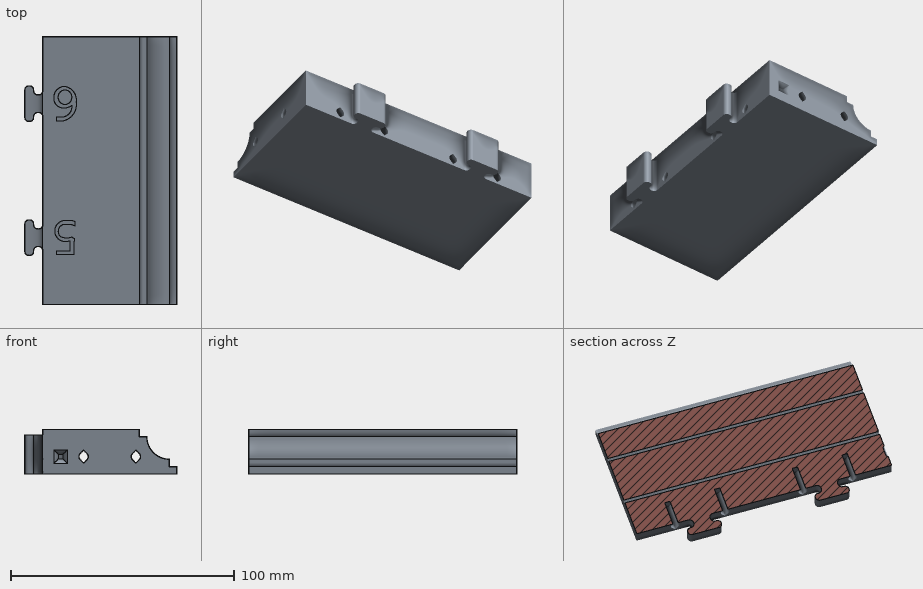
import cadquery as cq
import math

tile_length = 120.0
tile_width = 60.0
tile_height = 20.0
tile_mid_x = tile_width / 2
moulding_step = tile_height / 6
cove_radius = tile_height / 2

tab_reach = 8.0
tab_height = 17.5
tab_head_length = 16.0
tab_neck_length = tab_head_length / 2
tab_head_thickness = tab_reach / 2
tab_corner_radius = 1.8
tab_ys = (-tile_length / 4, tile_length / 4)

hole_radius = 2.0
hole_offset = 23.4 / 2
lengthwise_hole_z = 7.8
side_hole_z = 3.8
side_hole_depth = 12.0

socket_x = 8.0
socket_z = lengthwise_hole_z
socket_mouth = 6.0
socket_floor = 1.9
socket_depth = 2.0

inlay_depth = 1.0
inlay_x = 10.0
five_top = 7.4
six_top = 7.7
digit_bottom = -7.7
six_counter_y = -2.9
six_counter_width = 6.1
six_counter_height = 6.5


def make_blank():
    """Bar with the stepped cove profile, centred on Y."""
    upper_step_z = tile_height - moulding_step
    cove_foot_x = tile_width - moulding_step
    cove_top_x = cove_foot_x - cove_radius
    top_edge_x = cove_top_x - moulding_step
    profile = (
        cq.Workplane("XZ")
        .lineTo(tile_width, 0)
        .lineTo(tile_width, moulding_step)
        .lineTo(cove_foot_x, moulding_step)
        .lineTo(cove_foot_x, upper_step_z - cove_radius)
        .radiusArc((cove_top_x, upper_step_z), cove_radius)
        .lineTo(top_edge_x, upper_step_z)
        .lineTo(top_edge_x, tile_height)
        .lineTo(0, tile_height)
        .close()
    )
    return profile.extrude(tile_length / 2, both=True)


def make_tab(tab_y):
    """T-shaped tab standing on Z = 0, with its square neck end on the plane X = 0."""
    head = cq.Workplane("XY").box(
        tab_head_thickness, tab_head_length, tab_height, centered=(False, True, False)
    )
    neck = cq.Workplane("XY").box(
        tab_reach, tab_neck_length, tab_height, centered=(False, True, False)
    )
    return head.union(neck).translate((-tab_reach, tab_y, 0))


def round_tabs(body):
    """Round the head ends and the neck corners of every tab, including those at the tile face."""
    margin = 0.1
    tab_zone = cq.selectors.BoxSelector(
        (-tab_reach - margin, -tile_length / 2 + margin, 0),
        (margin, tile_length / 2 - margin, tab_height),
    )
    return body.edges("|Z").edges(tab_zone).fillet(tab_corner_radius)


def pointed_hole(plane, centre, depth):
    """Round hole with 45-degree points, tangent to it, above and below."""
    tangent = hole_radius / math.sqrt(2)
    tip = hole_radius * math.sqrt(2)
    return (
        cq.Workplane(plane)
        .center(*centre)
        .moveTo(0, tip)
        .lineTo(tangent, tangent)
        .threePointArc((hole_radius, 0), (tangent, -tangent))
        .lineTo(0, -tip)
        .lineTo(-tangent, -tangent)
        .threePointArc((-hole_radius, 0), (-tangent, tangent))
        .close()
        .extrude(depth)
    )


def make_socket():
    """Tapered square cutter for the socket in the -Y end."""
    end_face = cq.Plane(origin=(socket_x, -tile_length / 2, socket_z), xDir=(1, 0, 0), normal=(0, -1, 0))
    return (
        cq.Workplane(end_face)
        .rect(socket_mouth, socket_mouth)
        .workplane(offset=-socket_depth)
        .rect(socket_floor, socket_floor)
        .loft(ruled=True)
    )


def make_five():
    """Upright digit 5, centred on the origin."""
    return (
        cq.Workplane("XY")
        .moveTo(3.8, five_top)
        .lineTo(-4.0, five_top)
        .lineTo(-4.2, 0.4)
        .lineTo(-3.1, -0.2)
        .threePointArc((-0.6, 0.1), (1.8, -0.4))
        .threePointArc((3.0, -3.1), (0.2, -6.0))
        .lineTo(-2.5, -6.0)
        .lineTo(-4.5, -5.3)
        .lineTo(-4.5, -7.2)
        .lineTo(-3.2, digit_bottom)
        .lineTo(0.5, digit_bottom)
        .threePointArc((4.5, -3.0), (0.6, 1.7))
        .lineTo(-2.3, 1.5)
        .lineTo(-2.3, 6.0)
        .lineTo(3.8, 6.0)
        .close()
        .extrude(inlay_depth)
    )


def make_six():
    """Upright digit 6, centred on the origin, with an oval counter."""
    outline = (
        cq.Workplane("XY")
        .moveTo(3.8, six_top)
        .lineTo(0.6, six_top)
        .threePointArc((-3.6, 4.9), (-5.0, -0.7))
        .threePointArc((-3.7, -5.5), (0.1, digit_bottom))
        .threePointArc((3.5, -6.4), (4.9, -3.0))
        .threePointArc((3.7, 0.7), (0.6, 1.9))
        .threePointArc((-1.4, 1.7), (-3.1, 0.7))
        .threePointArc((-1.9, 4.4), (1.0, 6.0))
        .lineTo(3.8, 6.0)
        .close()
        .extrude(inlay_depth)
    )
    counter = (
        cq.Workplane("XY")
        .center(0, six_counter_y)
        .ellipse(six_counter_width / 2, six_counter_height / 2)
        .extrude(inlay_depth)
    )
    return outline.cut(counter)


def place_inlay(digit, inlay_y):
    """Turn a digit upside down and sink it flush into the top of the tile."""
    turned = digit.rotate((0, 0, 0), (0, 0, 1), 180)
    return turned.translate((inlay_x, inlay_y, tile_height - inlay_depth))


def make_tile(inlays):
    """Tile with its tabs, holes, socket and a matching recess for each inlay."""
    body = make_blank()
    for tab_y in tab_ys:
        body = body.union(make_tab(tab_y))
    body = round_tabs(body)

    far_end = cq.Plane(origin=(0, tile_length / 2, 0), xDir=(1, 0, 0), normal=(0, -1, 0))
    tab_face = cq.Plane(origin=(0, 0, 0), xDir=(0, 1, 0), normal=(1, 0, 0))
    for offset in (-hole_offset, hole_offset):
        body = body.cut(pointed_hole(far_end, (tile_mid_x + offset, lengthwise_hole_z), tile_length))
        for tab_y in tab_ys:
            body = body.cut(pointed_hole(tab_face, (tab_y + offset, side_hole_z), side_hole_depth))

    body = body.cut(make_socket())
    for inlay in inlays:
        body = body.cut(inlay)
    return body


five_inlay = place_inlay(make_five(), tab_ys[0])
six_inlay = place_inlay(make_six(), tab_ys[1])
tile = make_tile([five_inlay, six_inlay])

result = cq.Compound.makeCompound([tile.val(), five_inlay.val(), six_inlay.val()])